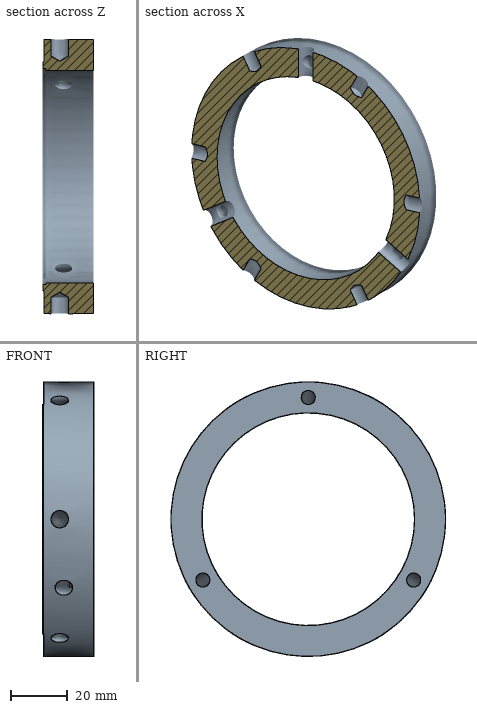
import cadquery as cq
import math

outer_diameter = 97.0
bore_diameter = 75.0
recess_diameter = 76.0
rim_diameter = 81.0
width = 18.0
rim_height = 0.3
recess_depth = 1.1

hole_diameter = 6.1
blind_hole_x = 6.0
blind_hole_depth = 5.8
drill_point_angle = 118.0
blind_hole_angles = range(0, 360, 60)
through_hole_x = 7.5
through_hole_angles = (90, 210, 330)

axial_hole_diameter = 4.9
axial_hole_radius = 43.0

outer_radius = outer_diameter / 2
hole_radius = hole_diameter / 2
drill_point_height = hole_radius / math.tan(math.radians(drill_point_angle / 2))


def disc(diameter, start_x, length):
    """Solid cylinder along X."""
    return cq.Workplane("YZ", origin=(start_x, 0, 0)).circle(diameter / 2).extrude(length)


def place_radially(cutter, x, angle):
    """Turn a cutter drawn along +Y to the given angle around X and move it along X."""
    return cutter.rotate((0, 0, 0), (1, 0, 0), angle).translate((x, 0, 0))


def make_ring():
    body = disc(outer_diameter, rim_height, width - rim_height)
    rim = disc(rim_diameter, 0, width)
    bore = disc(bore_diameter, 0, width)
    recess = disc(recess_diameter, 0, recess_depth)
    return body.union(rim).cut(bore).cut(recess)


def make_drill():
    """Blind hole cutter along +Y with a conical inner end."""
    shoulder = outer_radius - blind_hole_depth
    return (
        cq.Workplane("XY")
        .moveTo(0, shoulder - drill_point_height)
        .lineTo(hole_radius, shoulder)
        .lineTo(hole_radius, outer_radius)
        .lineTo(0, outer_radius)
        .close()
        .revolve(360, (0, 0, 0), (0, 1, 0))
    )


def make_through_cutter():
    """Cutter along +Y that passes through one side of the ring."""
    return cq.Workplane("XZ").circle(hole_radius).extrude(-outer_radius)


def make_axial_cutter():
    """Cutter along +X from a radial hole axis to the +X face, at the hole circle on the +Y side."""
    length = width - through_hole_x
    return disc(axial_hole_diameter, 0, length).translate((0, axial_hole_radius, 0))


result = make_ring()
for angle in blind_hole_angles:
    result = result.cut(place_radially(make_drill(), blind_hole_x, angle))
for angle in through_hole_angles:
    result = result.cut(place_radially(make_through_cutter(), through_hole_x, angle))
    result = result.cut(place_radially(make_axial_cutter(), through_hole_x, angle))